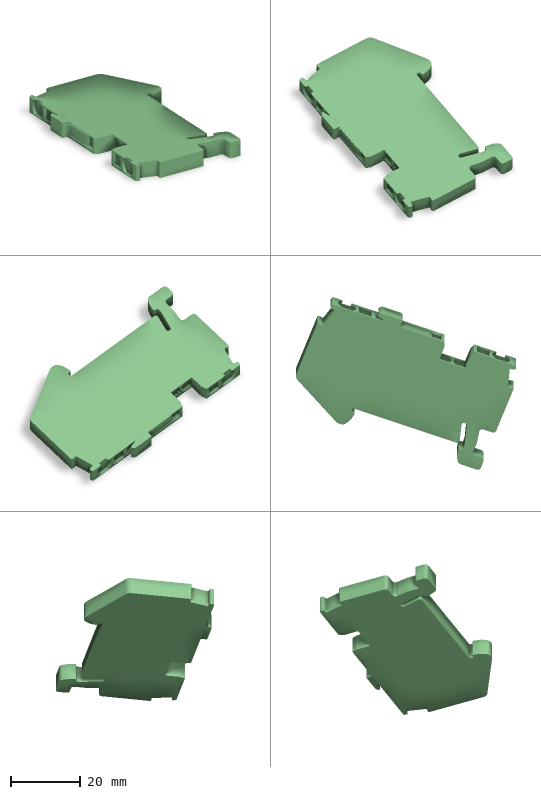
import cadquery as cq
import math

LENGTH = 60.6
HEIGHT = 35.3
BODY_THICKNESS = 5.0
CENTER_X = LENGTH / 2

SHOULDER_Y = 7.0
LEFT_WALL_TOP = 25.8
DECK_Y = 29.3
RIGHT_DECK_Y = 22.55
LATCH_HEAD_Y = 31.25

NOTCH_LEFT = 37.1
NOTCH_RIGHT = 45.15
NOTCH_DEPTH = 5.95
NOTCH_FLARE = 0.6
NOTCH_FLARE_HEIGHT = 1.6

SQUARE_WIDTH = 3.9
SQUARE_BOTTOM = 0.7
SQUARE_TOP = 4.55
SQUARE_OFFSET = 18.25
SQUARE_DEPTH = 0.9
ROUND_RADIUS = 2.7
ROUND_OFFSET = 23.8
ROUND_CENTER_Z = 2.65
ROUND_FLAT_Z = 0.4
ROUND_DEPTH = 0.95

WEB_X = 41.2
WEB_WIDTH = 0.6
TAB_LENGTH = 0.55
TAB_INSET = 0.55

TRACK_LEFT = 15.15
TRACK_RIGHT = 35.65
TRACK_DEPTH = 0.9
TRACK_TAPER_DEPTH = 0.65
TRACK_LEDGE = 1.1
TRACK_MOUTH_BOTTOM = 0.7
TRACK_MOUTH_TOP = 4.95
TRACK_FLOOR_BOTTOM = 1.35
TRACK_FLOOR_TOP = 4.3

BAR_RECESS = 0.1
BAR_RIGHT = 31.65
BAR_RAMP = 1.3
BAR_RAMP_DROP = 0.35
FOOT_LEFT = 15.7
FOOT_NECK_LEFT = 18.65
FOOT_RIGHT = 22.85
FOOT_DROP = 2.05
FOOT_TOE_Y = -0.95
FOOT_TOE_LEAN = 0.3
FOOT_TIP_RADIUS = 0.2
FOOT_TOE_RADIUS = 1.2
FOOT_HEEL_RADIUS = 0.35
FOOT_BOTTOM = 0.35
FOOT_THICKNESS = 4.85
FOOT_ROOT_CHAMFER = 0.55


def rounded_outline(corners):
    """Closed XY outline from (x, y, radius) corners, each rounded by a tangent arc."""
    path = None
    for i, (x, y, radius) in enumerate(corners):
        corner = cq.Vector(x, y)
        before = cq.Vector(*corners[i - 1][:2])
        after = cq.Vector(*corners[(i + 1) % len(corners)][:2])
        to_before = (before - corner).normalized()
        to_after = (after - corner).normalized()
        half_angle = to_before.getAngle(to_after) / 2
        setback = radius / math.tan(half_angle)
        start = corner + to_before * setback
        end = corner + to_after * setback
        if path is None:
            path = cq.Workplane("XY").moveTo(start.x, start.y)
        else:
            path = path.lineTo(start.x, start.y)
        if radius > 0:
            bisector = (to_before + to_after).normalized()
            middle = corner + bisector * (radius / math.sin(half_angle) - radius)
            path = path.threePointArc((middle.x, middle.y), (end.x, end.y))
    return path.close()


def box(x_min, x_max, y_min, y_max, z_min, z_max):
    size = (x_max - x_min, y_max - y_min, z_max - z_min)
    return cq.Workplane("XY").box(*size, centered=False).translate((x_min, y_min, z_min))


def make_body():
    ankle = [
        (LENGTH - 1.75, SHOULDER_Y + 0.25, 0.3),
        (LENGTH - 3.3, 1.6, 0.2),
        (LENGTH - 1.6, 1.2, 0.35),
        (LENGTH - 1.95, 0, 0.35),
    ]
    left_ankle = [(LENGTH - x, y, radius) for x, y, radius in reversed(ankle)]

    left_wall = [(0, SHOULDER_Y, 0.35), (0, LEFT_WALL_TOP, 1.8)]
    left_head = [
        (16.5, HEIGHT, 1.8),
        (18.4, HEIGHT, 1.5),
        (19.75, 33.3, 3.65),
        (20.3, 30.8, 0.2),
        (19.0, 30.4, 0.2),
        (19.0, DECK_Y, 0),
    ]
    spring_slot = [
        (52.05, DECK_Y, 0.7),
        (50.3, RIGHT_DECK_Y, 0.65),
        (51.9, RIGHT_DECK_Y, 0.65),
        (53.65, 29.2, 1.2),
    ]
    latch_head = [
        (53.65, 30.5, 0.2),
        (52.3, 30.85, 0.2),
        (52.7, 33.2, 3.65),
        (53.8, HEIGHT, 1.5),
        (LENGTH, HEIGHT, 0.9),
        (LENGTH, LATCH_HEAD_Y, 0.9),
    ]
    latch_neck = [
        (56.7, LATCH_HEAD_Y, 0.9),
        (56.7, 27.3, 3.65),
        (55.9, RIGHT_DECK_Y, 0.9),
    ]
    right_wall = [(LENGTH, RIGHT_DECK_Y, 0.9), (LENGTH, SHOULDER_Y, 0.35)]
    notch = [
        (NOTCH_RIGHT + NOTCH_FLARE, 0, 0),
        (NOTCH_RIGHT, NOTCH_FLARE_HEIGHT, 0),
        (NOTCH_RIGHT, NOTCH_DEPTH, 0),
        (NOTCH_LEFT, NOTCH_DEPTH, 0),
        (NOTCH_LEFT, NOTCH_FLARE_HEIGHT, 0),
        (NOTCH_LEFT - NOTCH_FLARE, 0, 0),
    ]
    upper = left_wall + left_head + spring_slot + latch_head + latch_neck + right_wall
    return rounded_outline(upper + ankle + notch + left_ankle).extrude(BODY_THICKNESS)


def square_pocket(x):
    half = SQUARE_WIDTH / 2
    return box(x - half, x + half, 0, SQUARE_DEPTH, SQUARE_BOTTOM, SQUARE_TOP)


def round_pocket(x):
    """Circular pocket with a flat lower side, breaking out through the top face."""
    disc = (
        cq.Workplane("XZ")
        .center(x, ROUND_CENTER_Z)
        .circle(ROUND_RADIUS)
        .extrude(-ROUND_DEPTH)
    )
    below_flat = box(x - ROUND_RADIUS, x + ROUND_RADIUS, 0, ROUND_DEPTH, -ROUND_RADIUS, ROUND_FLAT_Z)
    return disc.cut(below_flat)


def notch_pocket(side):
    wall_x = NOTCH_LEFT if side < 0 else NOTCH_RIGHT
    tab_x = WEB_X + side * WEB_WIDTH / 2
    main_x = tab_x + side * TAB_LENGTH
    floor_y = NOTCH_DEPTH + SQUARE_DEPTH
    main = box(*sorted((main_x, wall_x)), NOTCH_DEPTH, floor_y, SQUARE_BOTTOM, SQUARE_TOP)
    tab_span = sorted((tab_x, wall_x))
    tab = box(*tab_span, NOTCH_DEPTH, floor_y, SQUARE_BOTTOM + TAB_INSET, SQUARE_TOP - TAB_INSET)
    return main.union(tab)


def track_pocket():
    section = [
        (0, TRACK_MOUTH_BOTTOM),
        (TRACK_TAPER_DEPTH, TRACK_FLOOR_BOTTOM),
        (TRACK_TAPER_DEPTH, TRACK_FLOOR_TOP),
        (0, TRACK_MOUTH_TOP),
    ]
    tapered = (
        cq.Workplane("YZ", origin=(TRACK_LEFT, 0, 0))
        .polyline(section)
        .close()
        .extrude(TRACK_RIGHT - TRACK_LEFT)
    )
    straight = box(
        TRACK_LEFT + TRACK_LEDGE,
        TRACK_RIGHT,
        TRACK_TAPER_DEPTH,
        TRACK_DEPTH,
        TRACK_FLOOR_BOTTOM,
        TRACK_FLOOR_TOP,
    )
    return tapered.union(straight)


def make_foot():
    hook_outline = [
        (FOOT_NECK_LEFT, 0, 0),
        (FOOT_LEFT, FOOT_TOE_Y, FOOT_TIP_RADIUS),
        (FOOT_LEFT + FOOT_TOE_LEAN, -FOOT_DROP, FOOT_TOE_RADIUS),
        (FOOT_RIGHT, -FOOT_DROP, FOOT_HEEL_RADIUS),
        (FOOT_RIGHT, 0, 0),
    ]
    hook = rounded_outline(hook_outline).extrude(FOOT_THICKNESS).translate((0, 0, FOOT_BOTTOM))

    root_bottom = BAR_RECESS - FOOT_ROOT_CHAMFER
    root_right = FOOT_RIGHT + FOOT_ROOT_CHAMFER
    bar = (
        cq.Workplane("XY", origin=(0, 0, TRACK_FLOOR_BOTTOM))
        .moveTo(FOOT_NECK_LEFT, TRACK_DEPTH)
        .lineTo(FOOT_NECK_LEFT, root_bottom)
        .lineTo(FOOT_RIGHT, root_bottom)
        .lineTo(root_right, BAR_RECESS)
        .lineTo(BAR_RIGHT, BAR_RECESS)
        .lineTo(BAR_RIGHT + BAR_RAMP, BAR_RECESS + BAR_RAMP_DROP)
        .lineTo(BAR_RIGHT + BAR_RAMP, TRACK_DEPTH)
        .close()
        .extrude(TRACK_FLOOR_TOP - TRACK_FLOOR_BOTTOM)
    )
    return hook.union(bar)


result = make_body().cut(track_pocket())
for side in (-1, 1):
    result = result.cut(square_pocket(CENTER_X + side * SQUARE_OFFSET))
    result = result.cut(round_pocket(CENTER_X + side * ROUND_OFFSET))
    result = result.cut(notch_pocket(side))
result = result.union(make_foot())